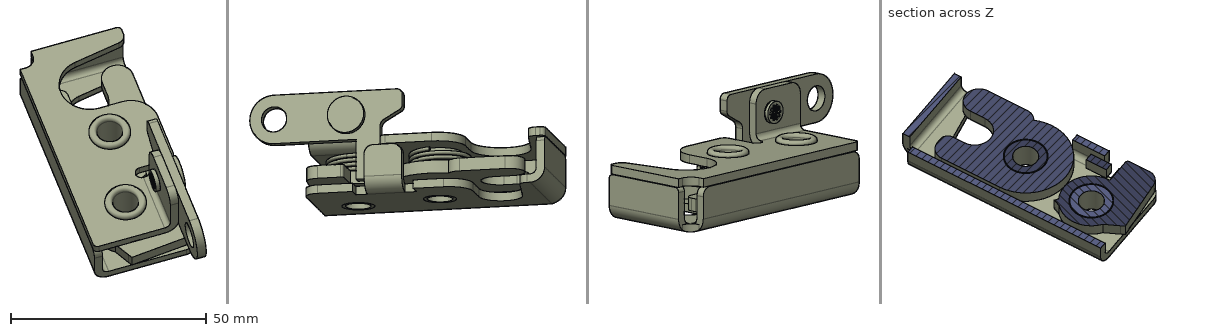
import cadquery as cq
import math

HOUSING_LENGTH = 63.4
HOUSING_WIDTH = 28.6
SHEET = 2.2
PAN_HEIGHT = 12.0
BEND_INNER_RADIUS = 1.65
BEND_OUTER_RADIUS = BEND_INNER_RADIUS + SHEET
PLATE_TOP = 14.5
PLATE_SHEET = 2.3
PLATE_BOTTOM = PLATE_TOP - PLATE_SHEET

CORNER_NOTCH = 4.45
CORNER_NOTCH_RADIUS = 3.0

JAW_PIVOT = (30.5, 15.3)
PAWL_PIVOT = (52.7, 12.0)

THROAT_CENTER = (14.6, 15.3)
PLATE_THROAT_RADIUS = 7.8
PAN_THROAT_RADIUS = 5.6
THROAT_LEAN = math.radians(9.8)
PLATE_MOUTH_RADIUS = 7.3
PAN_MOUTH_RADIUS = 6.3
THROAT_LIP_RADIUS = 2.35

FRONT_WALL_CORNER = 2.35
LEFT_WALL_CORNER = 1.2
FLOOR_CORNER = 3.8
BACK_TAB_LEFT = 37.5
BACK_TAB_RIGHT = 47.4
TAB_RELIEF_WIDTH = 3.05

PLATE_CORNER = 1.2
TAB_FRONT = 20.5
TAB_BACK = TAB_FRONT + PLATE_SHEET
TAB_BEND_INNER = 1.6
TAB_BEND_OUTER = TAB_BEND_INNER + PLATE_SHEET
TAB_LEFT = 46.7
TAB_CORNER = 3.4
RELIEF_WIDTH = 3.2
RELIEF_LEFT = TAB_LEFT - RELIEF_WIDTH
RELIEF_END_Y = 17.35
RELIEF_MOUTH_RADIUS = 1.6

BUSHING_BORE = 6.6
BUSHING_RIM_DIAMETER = 10.7
BUSHING_RIM_HEIGHT = 1.2
BUSHING_NECK_DIAMETER = 8.45
BUSHING_COLLAR_DIAMETER = 11.1
ROTOR_BORE = 11.3

ROTOR_BOTTOM = 4.0
ROTOR_TOP = 7.35
ROTOR_THICKNESS = ROTOR_TOP - ROTOR_BOTTOM
JAW_HUB_RADIUS = 12.35
JAW_FINGER_WIDTH = 8.3
JAW_FINGER_LEFT = 6.25
JAW_TOP = 28.45
JAW_SHOULDER_X = 26.3
JAW_SHOULDER_RADIUS = 3.9
JAW_SLOT_DIAMETER = 9.5
JAW_SLOT_X = 14.85
LOWER_FINGER_LEFT = 9.0
LOWER_FINGER_TIP_RADIUS = 2.35
LOWER_FINGER_HEEL_RADIUS = 3.9

PAWL_ARM_LEFT = 52.85
PAWL_ARM_TOP = 28.45
PAWL_ARM_CORNER = 3.5
PAWL_TIP_RADIUS = 0.8
PAWL_HUB_RADIUS = 8.45
PAWL_TOOTH = (44.55, 7.0)
PAWL_HEEL_TOP = (64.65, 9.7)
PAWL_HEEL_BOTTOM = (63.55, 9.1)
PAWL_ARM_RIGHT = 62.85

WIRE_DIAMETER = 1.0
JAW_COIL_RADIUS = 7.5
PAWL_COIL_RADIUS = 7.8
COIL_PITCH = 1.2
COIL_TURNS = 3
COIL_START_Z = 8.05
SPRING_LEG_LENGTH = 13.3
SPRING_LEG_ANGLE = 82.0

LEVER_THICKNESS = 2.4
LEVER_BACK = TAB_BACK + LEVER_THICKNESS
LEVER_TOP = 27.2
LEVER_END_RADIUS = (LEVER_TOP - PLATE_TOP) / 2
LEVER_RIGHT = 78.2
LEVER_LEFT = 38.15
LEVER_NOSE_BOTTOM = 22.1
LEVER_CORNER = 1.5
LEVER_INNER_CORNER = 2.2
LEVER_HOLE = 6.6
LEVER_LEG_LEFT = 44.0
LEVER_LEG_RIGHT = 50.3
LEVER_LEG_BOTTOM = 4.0
NOSE_SLOPE = math.radians(30)

RIVET_X = PAWL_PIVOT[0]
RIVET_Z = PLATE_TOP + LEVER_END_RADIUS
RIVET_SHANK = 5.2
RIVET_HEAD = 9.5
RIVET_HEAD_HEIGHT = 1.5
RIVET_TAIL = 5.8
RIVET_TAIL_HEIGHT = 1.2
DIMPLE_COUNT = 10
DIMPLE_WIDTH = 0.7
DIMPLE_INNER_RADIUS = 0.7
DIMPLE_OUTER_RADIUS = 2.1
CENTER_DIMPLE = 1.0
DIMPLE_DEPTH = 0.4


HAIR = 0.01
OVERCUT = 0.8
PICK_REACH = 0.15


def block(x0, x1, y0, y1, z0, z1):
    """Axis-aligned box between two corners."""
    return cq.Workplane("XY").box(x1 - x0, y1 - y0, z1 - z0, centered=False).translate((x0, y0, z0))


def cylinder(center, diameter, z0, z1):
    """Upright cylinder."""
    return cq.Workplane("XY", origin=(center[0], center[1], z0)).circle(diameter / 2).extrude(z1 - z0)


def rivet_cylinder(diameter, y0, y1):
    """Cylinder along the rivet's axis."""
    return cq.Workplane("XZ", origin=(RIVET_X, y0, RIVET_Z)).circle(diameter / 2).extrude(y0 - y1)


def edge_at(x, y):
    """Selector for the upright edges standing at a place in plan."""
    low = (x - PICK_REACH, y - PICK_REACH, -OVERCUT)
    high = (x + PICK_REACH, y + PICK_REACH, PLATE_TOP + OVERCUT)
    return cq.selectors.BoxSelector(low, high)


def corner_notch():
    """Cutter for the open front-left corner, round on its inner corner."""
    notch = block(-CORNER_NOTCH, CORNER_NOTCH, -CORNER_NOTCH, CORNER_NOTCH, 0, PLATE_TOP)
    return notch.edges("|Z").edges(edge_at(CORNER_NOTCH, CORNER_NOTCH)).fillet(CORNER_NOTCH_RADIUS)


def cut_throat(sheet, radius, mouth_radius, z0, z1):
    """Cut the throat through a flat sheet and round both sides of its mouth."""
    cx, cy = THROAT_CENTER
    left_x = cx - radius * math.cos(THROAT_LEAN)
    left_y = cy - radius * math.sin(THROAT_LEAN)
    mouth_left_x = left_x - (HOUSING_WIDTH - left_y) * math.tan(THROAT_LEAN)
    right_x = cx + radius
    throat = (
        cq.Workplane("XY", origin=(0, 0, z0))
        .moveTo(mouth_left_x, HOUSING_WIDTH)
        .lineTo(left_x, left_y)
        .threePointArc((cx, cy - radius), (right_x, cy))
        .lineTo(right_x, HOUSING_WIDTH)
        .close()
        .extrude(z1 - z0)
    )
    sheet = sheet.cut(throat)
    sheet = sheet.edges("|Z").edges(edge_at(mouth_left_x, HOUSING_WIDTH)).fillet(THROAT_LIP_RADIUS)
    return sheet.edges("|Z").edges(edge_at(right_x, HOUSING_WIDTH)).fillet(mouth_radius)


def make_back_tab():
    """Short wall bent up from the back edge of the floor."""
    root_y = HOUSING_WIDTH - 2 * BEND_OUTER_RADIUS
    tab = block(BACK_TAB_LEFT, BACK_TAB_RIGHT, root_y, HOUSING_WIDTH, 0, PAN_HEIGHT)
    tab = tab.edges("|X and >Y and <Z").fillet(BEND_OUTER_RADIUS)
    hollow = block(
        BACK_TAB_LEFT, BACK_TAB_RIGHT, 0, HOUSING_WIDTH - SHEET, SHEET, PAN_HEIGHT + BEND_OUTER_RADIUS
    )
    tab = tab.cut(hollow.edges("|X and >Y and <Z").fillet(BEND_INNER_RADIUS))
    return tab.edges("|Y and >Z").fillet(FRONT_WALL_CORNER)


def make_pan():
    """Floor with a front wall, a left wall and a short back tab."""
    pan = block(0, HOUSING_LENGTH, 0, HOUSING_WIDTH, 0, PAN_HEIGHT)
    pan = pan.edges("(|X and <Y and <Z) or (|Y and <X and <Z)").fillet(BEND_OUTER_RADIUS)
    hollow = block(SHEET, 2 * HOUSING_LENGTH, SHEET, 2 * HOUSING_WIDTH, SHEET, 2 * PAN_HEIGHT)
    hollow = hollow.edges("(|X and <Y and <Z) or (|Y and <X and <Z)").fillet(BEND_INNER_RADIUS)
    pan = pan.cut(hollow).cut(corner_notch())
    pan = pan.cut(block(0, CORNER_NOTCH, 0, CORNER_NOTCH, SHEET, PAN_HEIGHT))
    search_top = PAN_HEIGHT + OVERCUT
    front_wall = cq.selectors.BoxSelector((-OVERCUT, 0, 0), (HOUSING_LENGTH + OVERCUT, SHEET, search_top))
    left_wall = cq.selectors.BoxSelector((0, -OVERCUT, 0), (SHEET, HOUSING_WIDTH + OVERCUT, search_top))
    pan = pan.edges("|Y and >Z").edges(front_wall).fillet(FRONT_WALL_CORNER)
    pan = pan.edges("|X and >Z").edges(left_wall).fillet(LEFT_WALL_CORNER)
    pan = pan.edges("|Z").edges(edge_at(HOUSING_LENGTH, HOUSING_WIDTH)).fillet(FLOOR_CORNER)
    pan = cut_throat(pan, PAN_THROAT_RADIUS, PAN_MOUTH_RADIUS, 0, SHEET)

    back_strip = block(
        BACK_TAB_LEFT - TAB_RELIEF_WIDTH,
        BACK_TAB_RIGHT + TAB_RELIEF_WIDTH,
        HOUSING_WIDTH - BEND_OUTER_RADIUS,
        HOUSING_WIDTH,
        0,
        SHEET,
    )
    pan = pan.cut(back_strip).union(make_back_tab())
    for pivot in (JAW_PIVOT, PAWL_PIVOT):
        pan = pan.cut(cylinder(pivot, BUSHING_NECK_DIAMETER, 0, SHEET))
    return pan


def make_plate_tab():
    """Upright tab that carries the lever, with its bend."""
    bend_start = TAB_FRONT - TAB_BEND_INNER
    tab = block(TAB_LEFT, HOUSING_LENGTH, bend_start, TAB_BACK, PLATE_BOTTOM, LEVER_TOP)
    tab = tab.edges("|X and >Y and <Z").fillet(TAB_BEND_OUTER - HAIR)
    front = block(TAB_LEFT, HOUSING_LENGTH, 0, TAB_FRONT, PLATE_TOP, 2 * LEVER_TOP)
    tab = tab.cut(front.edges("|X and >Y and <Z").fillet(TAB_BEND_INNER))
    tab = tab.edges("|Y and >Z").fillet(TAB_CORNER)
    return tab.cut(rivet_cylinder(RIVET_SHANK, TAB_FRONT, TAB_BACK))


def make_plate():
    """Flat cover with the throat, the bushing holes and the upright tab."""
    plate = block(0, HOUSING_LENGTH, 0, HOUSING_WIDTH, PLATE_BOTTOM, PLATE_TOP)
    plate = plate.edges("|Z").edges(edge_at(0, HOUSING_WIDTH)).fillet(PLATE_CORNER)
    plate = plate.edges("|Z").edges(edge_at(HOUSING_LENGTH, 0)).fillet(PLATE_CORNER)
    plate = plate.cut(corner_notch())
    plate = cut_throat(plate, PLATE_THROAT_RADIUS, PLATE_MOUTH_RADIUS, PLATE_BOTTOM, PLATE_TOP)

    relief = block(RELIEF_LEFT, TAB_LEFT, RELIEF_END_Y, HOUSING_WIDTH, PLATE_BOTTOM, PLATE_TOP)
    relief = relief.edges("|Z and <Y").fillet(RELIEF_WIDTH / 2 - HAIR)
    behind_bend = block(
        TAB_LEFT, HOUSING_LENGTH, TAB_FRONT - TAB_BEND_INNER, HOUSING_WIDTH, PLATE_BOTTOM, PLATE_TOP
    )
    plate = plate.cut(relief).cut(behind_bend)
    plate = plate.edges("|Z").edges(edge_at(RELIEF_LEFT, HOUSING_WIDTH)).fillet(RELIEF_MOUTH_RADIUS)
    for pivot in (JAW_PIVOT, PAWL_PIVOT):
        plate = plate.cut(cylinder(pivot, BUSHING_NECK_DIAMETER, PLATE_BOTTOM, PLATE_TOP))
    return plate.union(make_plate_tab())


def make_bushing(pivot):
    """Tube with a collar between floor and plate and a rolled rim on top."""
    rim_top = PLATE_TOP + BUSHING_RIM_HEIGHT
    neck = cylinder(pivot, BUSHING_NECK_DIAMETER, 0, PLATE_TOP)
    collar = cylinder(pivot, BUSHING_COLLAR_DIAMETER, SHEET, PLATE_BOTTOM)
    inner = BUSHING_BORE / 2
    outer = BUSHING_RIM_DIAMETER / 2
    shoulder = rim_top - (outer - inner) / 2
    rim = (
        cq.Workplane("XZ")
        .moveTo(inner, PLATE_TOP)
        .lineTo(outer, PLATE_TOP)
        .lineTo(outer, shoulder)
        .threePointArc(((inner + outer) / 2, rim_top), (inner, shoulder))
        .close()
        .revolve(360, (0, 0, 0), (0, 1, 0))
        .translate((pivot[0], pivot[1], 0))
    )
    tube = neck.union(collar).cut(cylinder(pivot, BUSHING_BORE, 0, PLATE_TOP))
    return tube.union(rim)


def make_jaw():
    """Fork with two fingers that closes on the striker."""
    px, py = JAW_PIVOT
    finger_bottom = JAW_TOP - JAW_FINGER_WIDTH
    slot_bottom = finger_bottom - JAW_SLOT_DIAMETER
    slot_center = (JAW_SLOT_X, finger_bottom - JAW_SLOT_DIAMETER / 2)

    upper = block(JAW_FINGER_LEFT, JAW_SHOULDER_X, finger_bottom, JAW_TOP, ROTOR_BOTTOM, ROTOR_TOP)
    upper = upper.edges("|Z and <X").fillet(JAW_FINGER_WIDTH / 2 - HAIR)
    upper = upper.edges("|Z and >X and >Y").fillet(JAW_SHOULDER_RADIUS)

    lower = block(LOWER_FINGER_LEFT, px, py - JAW_HUB_RADIUS, slot_bottom, ROTOR_BOTTOM, ROTOR_TOP)
    lower = lower.edges("|Z and <X and >Y").fillet(LOWER_FINGER_TIP_RADIUS)
    lower = lower.edges("|Z and <X and <Y").fillet(LOWER_FINGER_HEEL_RADIUS)

    slot = block(0, JAW_SLOT_X, slot_bottom, finger_bottom, ROTOR_BOTTOM, ROTOR_TOP)
    slot = slot.union(cylinder(slot_center, JAW_SLOT_DIAMETER, ROTOR_BOTTOM, ROTOR_TOP))

    web = block(JAW_SLOT_X, px, slot_bottom, finger_bottom, ROTOR_BOTTOM, ROTOR_TOP)
    hub = cylinder(JAW_PIVOT, 2 * JAW_HUB_RADIUS, ROTOR_BOTTOM, ROTOR_TOP)
    jaw = hub.union(web).union(upper).union(lower).cut(slot)
    return jaw.cut(cylinder(JAW_PIVOT, ROTOR_BORE, ROTOR_BOTTOM, ROTOR_TOP))


def make_pawl():
    """Catch lever with an arm for the trigger, a tooth towards the jaw and a hub."""
    arm = (
        cq.Workplane("XY", origin=(0, 0, ROTOR_BOTTOM))
        .moveTo(PAWL_ARM_LEFT, PAWL_ARM_TOP)
        .lineTo(PAWL_ARM_RIGHT, PAWL_ARM_TOP)
        .lineTo(*PAWL_HEEL_TOP)
        .lineTo(*PAWL_HEEL_BOTTOM)
        .lineTo(PAWL_PIVOT[0], PAWL_PIVOT[1] - PAWL_HUB_RADIUS)
        .lineTo(*PAWL_TOOTH)
        .lineTo(PAWL_ARM_LEFT, PAWL_PIVOT[1] + PAWL_HUB_RADIUS)
        .close()
        .extrude(ROTOR_THICKNESS)
    )
    arm = arm.edges("|Z").edges(edge_at(PAWL_ARM_RIGHT, PAWL_ARM_TOP)).fillet(PAWL_ARM_CORNER)
    arm = arm.edges("|Z").edges(edge_at(PAWL_ARM_LEFT, PAWL_ARM_TOP)).fillet(PAWL_TIP_RADIUS)
    hub = cylinder(PAWL_PIVOT, 2 * PAWL_HUB_RADIUS, ROTOR_BOTTOM, ROTOR_TOP)
    return arm.union(hub).cut(cylinder(PAWL_PIVOT, ROTOR_BORE, ROTOR_BOTTOM, ROTOR_TOP))


def make_coil(pivot, radius, start_angle):
    """Helical coil around a pivot, its first turn starting at the given angle in degrees."""
    wire_path = cq.Wire.makeHelix(COIL_PITCH, COIL_PITCH * COIL_TURNS, radius)
    coil = (
        cq.Workplane("XZ", origin=(radius, 0, 0))
        .circle(WIRE_DIAMETER / 2)
        .sweep(cq.Workplane(wire_path), isFrenet=True)
    )
    coil = coil.rotate((0, 0, 0), (0, 0, 1), start_angle)
    return coil.translate((pivot[0], pivot[1], COIL_START_Z))


def make_pawl_spring():
    """Coil whose top turn ends in a straight leg."""
    angle = math.radians(SPRING_LEG_ANGLE)
    start = cq.Vector(
        PAWL_PIVOT[0] + PAWL_COIL_RADIUS * math.cos(angle),
        PAWL_PIVOT[1] + PAWL_COIL_RADIUS * math.sin(angle),
        COIL_START_Z + COIL_PITCH * COIL_TURNS,
    )
    direction = cq.Vector(-math.sin(angle), math.cos(angle), 0)
    leg = cq.Solid.makeCylinder(WIRE_DIAMETER / 2, SPRING_LEG_LENGTH, start, direction)
    return make_coil(PAWL_PIVOT, PAWL_COIL_RADIUS, SPRING_LEG_ANGLE).union(cq.Workplane(leg))


def make_lever():
    """Flat lever with a round pull end, a sloped nose and a leg that reaches the pawl layer."""
    end_x = LEVER_RIGHT - LEVER_END_RADIUS
    leg_top = LEVER_NOSE_BOTTOM - (LEVER_LEG_LEFT - LEVER_LEFT) * math.tan(NOSE_SLOPE)
    lever = (
        cq.Workplane("XZ", origin=(0, LEVER_BACK, 0))
        .moveTo(end_x, LEVER_TOP)
        .lineTo(LEVER_LEFT, LEVER_TOP)
        .lineTo(LEVER_LEFT, LEVER_NOSE_BOTTOM)
        .lineTo(LEVER_LEG_LEFT, leg_top)
        .lineTo(LEVER_LEG_LEFT, LEVER_LEG_BOTTOM)
        .lineTo(LEVER_LEG_RIGHT, LEVER_LEG_BOTTOM)
        .lineTo(LEVER_LEG_RIGHT, PLATE_TOP)
        .lineTo(end_x, PLATE_TOP)
        .threePointArc((LEVER_RIGHT, RIVET_Z), (end_x, LEVER_TOP))
        .close()
        .extrude(LEVER_THICKNESS)
    )
    lever = lever.edges("|Y and <X").fillet(LEVER_CORNER)
    middle_y = LEVER_BACK - LEVER_THICKNESS / 2
    inner_corner = cq.selectors.NearestToPointSelector((LEVER_LEG_LEFT, middle_y, leg_top))
    lever = lever.edges("|Y").edges(inner_corner).fillet(LEVER_INNER_CORNER)
    pull_hole = (
        cq.Workplane("XZ", origin=(end_x, LEVER_BACK, RIVET_Z))
        .circle(LEVER_HOLE / 2)
        .extrude(LEVER_THICKNESS)
    )
    return lever.cut(pull_hole).cut(rivet_cylinder(RIVET_SHANK, TAB_BACK, LEVER_BACK))


def make_rivet():
    """Headed pivot pin of the lever, its tail stamped with a ring of radial dimples."""
    tail_front = TAB_FRONT - RIVET_TAIL_HEIGHT
    rivet = rivet_cylinder(RIVET_SHANK, TAB_FRONT, LEVER_BACK)
    rivet = rivet.union(rivet_cylinder(RIVET_HEAD, LEVER_BACK, LEVER_BACK + RIVET_HEAD_HEIGHT))
    rivet = rivet.union(rivet_cylinder(RIVET_TAIL, tail_front, TAB_FRONT))
    face = cq.Workplane("XZ", origin=(RIVET_X, tail_front, RIVET_Z))
    dimple_length = DIMPLE_OUTER_RADIUS - DIMPLE_INNER_RADIUS
    dimple_center = DIMPLE_INNER_RADIUS + dimple_length / 2
    ring = face.polarArray(dimple_center, 0, 360, DIMPLE_COUNT).slot2D(dimple_length, DIMPLE_WIDTH)
    rivet = rivet.cut(ring.extrude(-DIMPLE_DEPTH))
    return rivet.cut(rivet_cylinder(CENTER_DIMPLE, tail_front, tail_front + DIMPLE_DEPTH))


pan = make_pan()
plate = make_plate()
bushings = [make_bushing(pivot) for pivot in (JAW_PIVOT, PAWL_PIVOT)]
jaw = make_jaw()
pawl = make_pawl()
jaw_spring = make_coil(JAW_PIVOT, JAW_COIL_RADIUS, SPRING_LEG_ANGLE)
pawl_spring = make_pawl_spring()
lever = make_lever()
rivet = make_rivet()

result = cq.Compound.makeCompound(
    [
        pan.val(),
        plate.val(),
        *[bushing.val() for bushing in bushings],
        jaw.val(),
        pawl.val(),
        jaw_spring.val(),
        pawl_spring.val(),
        lever.val(),
        rivet.val(),
    ]
)